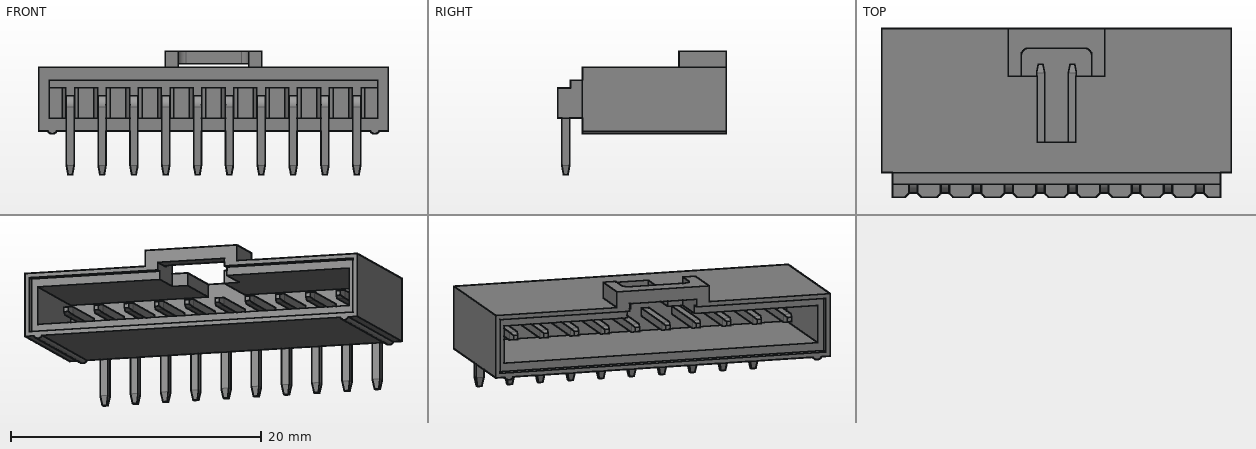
import cadquery as cq
import math


length = 27.95
housing_depth = 11.5
housing_height = 5.1
end_wall = 0.87
top_wall = 1.03
mating_depth = 9.08
rim_thickness = 0.35
rim_depth = 0.61
mid_height = housing_height / 2
inner_length = length - 2 * end_wall
inner_height = housing_height - 2 * top_wall

ledge_depth = 0.95
block_depth = 1.03
block_drop = 0.61
block_chamfer = 0.3
pin_clearance = 0.03
block_height = inner_height - block_drop

bridge_length = 7.7
bridge_depth = 3.8
bridge_height = 1.29
bridge_clearance = 0.25
window_length = 5.62
crossbar_depth = 1.56
window_radius = 0.6
key_slot_width = 3.07

rib_inset = 1.1
rib_width = 0.7
rib_height = 0.22

pin_count = 10
pitch = 2.55
pin_size = 0.65
bend_radius = 0.95
tip_width = 0.35
mating_tip_length = 0.67
tail_tip_length = 0.78
mating_tip_inset = 2.85
tail_reach = 3.5
tail_setback = 0.34

pin_positions = [(i - (pin_count - 1) / 2) * pitch for i in range(pin_count)]
block_front = -ledge_depth - block_depth
tail_front = block_front + tail_setback


def box(x_size, y_start, y_end, z_start, z_end):
    """A box centred on X = 0 between the given Y and Z limits."""
    size_y = y_end - y_start
    size_z = z_end - z_start
    return cq.Workplane("XY").box(x_size, size_y, size_z, centered=(True, False, False)).translate(
        (0, y_start, z_start)
    )


def make_shell():
    """Housing with its ledge, open at the mating end, where the walls thin to a rim."""
    shell = box(length, 0, housing_depth, 0, housing_height)
    ledge = box(inner_length, -ledge_depth, 0, top_wall, housing_height - top_wall)
    cavity_start = housing_depth - mating_depth
    cavity = box(inner_length, cavity_start, housing_depth, top_wall, housing_height - top_wall)
    mouth = box(
        length - 2 * rim_thickness,
        housing_depth - rim_depth,
        housing_depth,
        rim_thickness,
        housing_height - rim_thickness,
    )
    return shell.union(ledge).cut(cavity).cut(mouth)


def make_bridge():
    """Latch bridge: a U-shaped plate whose crossbar stands clear of the housing top."""
    bridge_front = housing_depth - bridge_depth
    bridge_top = housing_height + bridge_height
    bridge = box(bridge_length, bridge_front, housing_depth, housing_height, bridge_top)
    window_back = housing_depth - crossbar_depth
    window = box(window_length, bridge_front, window_back, housing_height, bridge_top)
    window = window.edges("|Z and >Y").fillet(window_radius)
    crossbar_bottom = housing_height + bridge_clearance
    gap = box(window_length, bridge_front, housing_depth, housing_height, crossbar_bottom)
    return bridge.cut(window).cut(gap)


def make_top_openings():
    """T-shaped opening through the top wall: a notch under the bridge and the key slot."""
    wall_bottom = housing_height - top_wall
    notch = box(window_length, housing_depth - bridge_depth, housing_depth, wall_bottom, housing_height)
    slot = box(key_slot_width, housing_depth - mating_depth, housing_depth, wall_bottom, housing_height)
    return notch.union(slot)


def make_comb():
    """Row of blocks on the ledge, with a chamfered gap for each pin."""
    comb = box(inner_length, block_front, -ledge_depth, top_wall, top_wall + block_height)
    half_gap = pin_size / 2 + pin_clearance
    half_mouth = half_gap + block_chamfer
    chamfer_back = block_front + block_chamfer
    gap = (
        cq.Workplane("XY")
        .workplane(offset=top_wall)
        .moveTo(-half_gap, -ledge_depth)
        .lineTo(-half_gap, chamfer_back)
        .lineTo(-half_mouth, block_front)
        .lineTo(half_mouth, block_front)
        .lineTo(half_gap, chamfer_back)
        .lineTo(half_gap, -ledge_depth)
        .close()
        .extrude(block_height)
    )
    for x in pin_positions:
        comb = comb.cut(gap.translate((x, 0, 0)))
    return comb


def make_rib(x):
    """Rounded standoff rib running the full depth of the housing."""
    return (
        cq.Workplane("XZ")
        .moveTo(x - rib_width / 2, 0)
        .threePointArc((x, -rib_height), (x + rib_width / 2, 0))
        .close()
        .extrude(-housing_depth)
    )


def make_tip(tip_length):
    """Tapered pin end pointing along +Z from the origin."""
    taper = math.degrees(math.atan((pin_size - tip_width) / 2 / tip_length))
    return cq.Workplane("XY").rect(pin_size, pin_size).extrude(tip_length, taper=taper)


def make_pin():
    """Square right-angle pin at X = 0: mating end along +Y, tail down along -Z."""
    mating_shoulder = housing_depth - mating_tip_inset - mating_tip_length
    tail_shoulder = tail_tip_length - tail_reach
    pin_top = mid_height + pin_size / 2
    pin_bottom = mid_height - pin_size / 2
    tail_back = tail_front + pin_size
    bend_y = tail_front + bend_radius
    bend_z = pin_top - bend_radius
    inner_radius = bend_radius - pin_size
    diagonal = math.sqrt(0.5)
    shank = (
        cq.Workplane("YZ")
        .moveTo(mating_shoulder, pin_top)
        .lineTo(bend_y, pin_top)
        .threePointArc(
            (bend_y - bend_radius * diagonal, bend_z + bend_radius * diagonal), (tail_front, bend_z)
        )
        .lineTo(tail_front, tail_shoulder)
        .lineTo(tail_back, tail_shoulder)
        .lineTo(tail_back, bend_z)
        .threePointArc(
            (bend_y - inner_radius * diagonal, bend_z + inner_radius * diagonal), (bend_y, pin_bottom)
        )
        .lineTo(mating_shoulder, pin_bottom)
        .close()
        .extrude(pin_size / 2, both=True)
    )
    mating_tip = make_tip(mating_tip_length).rotate((0, 0, 0), (1, 0, 0), -90)
    mating_tip = mating_tip.translate((0, mating_shoulder, mid_height))
    tail_tip = make_tip(tail_tip_length).rotate((0, 0, 0), (1, 0, 0), 180)
    tail_tip = tail_tip.translate((0, tail_front + pin_size / 2, tail_shoulder))
    return shank.union(mating_tip).union(tail_tip)


header = make_shell().cut(make_top_openings()).union(make_bridge()).union(make_comb())

for side in (-1, 1):
    header = header.union(make_rib(side * (length / 2 - rib_inset)))

pin = make_pin()
for x in pin_positions:
    header = header.union(pin.translate((x, 0, 0)))

result = header